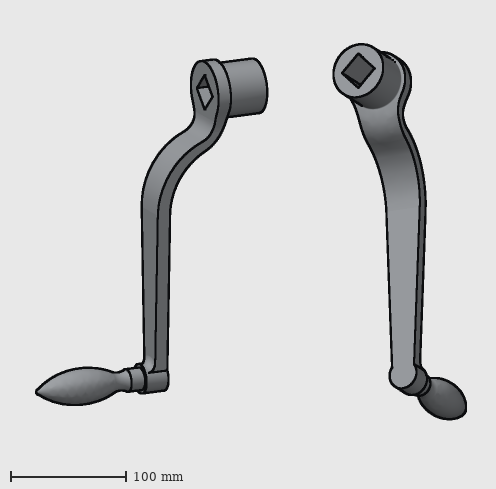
import math

import cadquery as cq


hub_radius = 24
hub_length = 36.8
hub_fillet = 1
flange_radius = 27.5
square_side = 22

arm_thickness = 12
crank_radius = 250
blend_start_z = -13.2
blend_end_z = -31.5
blend_end_half_width = 18.75
tip_half_width = 10.3

arm_offset = 53
bend_end_z = -100.5
front_convex_radius = 67
front_start_z = -21.8
crown_convex_radius = 66
crown_start_z = -4

boss_radius = 13
boss_projection = 9.2
boss_fillet = 6

shank_radius = 10
shank_length = 13
neck_radius = 8
waist_length = 15.2
grip_radius = 16
grip_widest_at = 57
grip_length = 100
cap_radius = 2.5
cap_length = 2

flange_front = hub_length + arm_thickness
arm_back = hub_length + arm_offset
arm_front = arm_back + arm_thickness
boss_front = arm_front + boss_projection
grip_z = -crank_radius
tolerance = 0.5


def cylinder(radius, start, end, z):
    """Cylinder along Y between two forward distances."""
    return cq.Workplane("XZ", origin=(0, -start, z)).circle(radius).extrude(end - start)


def side_plane(x):
    """Plane at x whose local axes are forward and up."""
    return cq.Plane(origin=(x, 0, 0), xDir=(0, -1, 0), normal=(-1, 0, 0))


def polar(center, radius, angle):
    """Point on a circle, at an angle from the first axis towards the second."""
    return (center[0] + radius * math.cos(angle), center[1] + radius * math.sin(angle))


def bend_points(start_forward, start_z, convex_radius):
    """Mid, joint, mid and end points of two tangent arcs that step forward by arm_offset."""
    drop = start_z - bend_end_z
    radius_sum = (arm_offset**2 + drop**2) / (2 * arm_offset)
    concave_radius = radius_sum - convex_radius
    turn = math.asin(drop / radius_sum)
    upper = (start_forward + concave_radius, start_z)
    end = (start_forward + arm_offset, bend_end_z)
    lower = (end[0] - convex_radius, bend_end_z)
    return (
        polar(upper, concave_radius, math.pi + turn / 2),
        polar(upper, concave_radius, math.pi + turn),
        polar(lower, convex_radius, turn / 2),
        end,
    )


def bend_section(x, back_start_z, back_convex_radius):
    """Closed side profile of the flange's lower half, the bend and the lower arm."""
    bottom_z = grip_z - boss_radius
    front_mid, front_joint, front_low, front_end = bend_points(
        flange_front, front_start_z, front_convex_radius
    )
    back_mid, back_joint, back_low, back_end = bend_points(
        hub_length, back_start_z, back_convex_radius
    )
    profile = (
        cq.Workplane(side_plane(x))
        .moveTo(hub_length, 0)
        .lineTo(flange_front, 0)
        .lineTo(flange_front, front_start_z)
        .threePointArc(front_mid, front_joint)
        .threePointArc(front_low, front_end)
        .lineTo(arm_front, bottom_z)
        .lineTo(arm_back, bottom_z)
        .lineTo(*back_end)
        .threePointArc(back_low, back_joint)
        .threePointArc(back_mid, (hub_length, back_start_z))
        .close()
    )
    return profile.val()


def make_arm():
    """Tapered arm and flange: the front outline cut to the bent, crowned side profile."""
    center = bend_section(0, front_start_z, front_convex_radius - arm_thickness)
    left, right = [
        bend_section(x, crown_start_z, crown_convex_radius) for x in (-flange_radius, flange_radius)
    ]
    bent_bar = cq.Workplane(cq.Solid.makeLoft([left, center, right]))

    rim_x = math.sqrt(flange_radius**2 - blend_start_z**2)
    outline = (
        cq.Workplane("XZ")
        .moveTo(0, flange_radius)
        .threePointArc((flange_radius, 0), (rim_x, blend_start_z))
        .tangentArcPoint((blend_end_half_width, blend_end_z), relative=False)
        .lineTo(tip_half_width, grip_z)
        .lineTo(0, grip_z)
        .mirrorY()
        .extrude(boss_front)
    )
    upper_flange = (
        cq.Workplane("XZ", origin=(0, -hub_length, 0))
        .moveTo(flange_radius, 0)
        .threePointArc((0, flange_radius), (-flange_radius, 0))
        .close()
        .extrude(arm_thickness)
    )
    return outline.intersect(bent_bar).union(upper_flange)


def add_hub(arm):
    """Hub barrel behind the flange with a small fillet around its root."""
    body = arm.union(cylinder(hub_radius, 0, flange_front, 0))
    root = cq.selectors.BoxSelector(
        (-hub_radius - tolerance, -hub_length - tolerance, -hub_radius - tolerance),
        (hub_radius + tolerance, -hub_length + tolerance, hub_radius + tolerance),
        boundingbox=True,
    )
    return body.edges(root).fillet(hub_fillet)


def add_boss(body):
    """Round end of the arm, filleted into the arm's front face."""
    body = body.union(cylinder(boss_radius, arm_back, boss_front, grip_z))
    root = cq.selectors.BoxSelector(
        (-boss_radius, -arm_front - tolerance, grip_z + tolerance),
        (boss_radius, -arm_front + tolerance, grip_z + boss_radius + tolerance),
        boundingbox=True,
    )
    return body.edges(root).fillet(boss_fillet)


def make_grip():
    """Shank, waist and barrel-shaped handle with a rounded cap."""
    half_waist = waist_length / 2
    neck_at = shank_length + half_waist
    dip = shank_radius - neck_radius
    waist_arc_radius = (half_waist**2 + dip**2) / (2 * dip)
    quarter = half_waist / 2
    quarter_radius = neck_radius + waist_arc_radius - math.sqrt(waist_arc_radius**2 - quarter**2)
    cap_start = grip_length - cap_length
    cap_sphere_radius = (cap_radius**2 + cap_length**2) / (2 * cap_length)
    cap_center = (0, grip_length - cap_sphere_radius)
    cap_half_angle = math.asin(cap_radius / cap_sphere_radius)
    cap_mid = polar(cap_center, cap_sphere_radius, (math.pi - cap_half_angle) / 2)
    plane = cq.Plane(origin=(0, -boss_front, grip_z), xDir=(1, 0, 0), normal=(0, 0, -1))
    profile = (
        cq.Workplane(plane)
        .lineTo(shank_radius, 0)
        .lineTo(shank_radius, shank_length)
        .threePointArc((quarter_radius, neck_at - quarter), (neck_radius, neck_at))
        .threePointArc((quarter_radius, neck_at + quarter), (shank_radius, shank_length + waist_length))
        .threePointArc((grip_radius, grip_widest_at), (cap_radius, cap_start))
        .threePointArc(cap_mid, (0, grip_length))
        .close()
    )
    return profile.revolve(360, (0, 0), (0, 1))


def make_square_hole():
    """Square socket through the hub, standing on a corner."""
    square = cq.Workplane("XZ").rect(square_side, square_side).extrude(flange_front)
    return square.rotate((0, 0, 0), (0, 1, 0), 45)


crank = add_boss(add_hub(make_arm()))
result = crank.union(make_grip()).cut(make_square_hole())